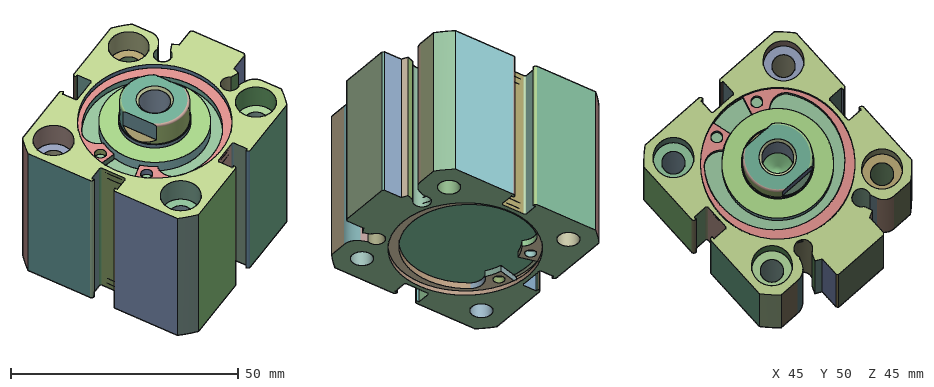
import cadquery as cq
import math

housing_width = 45.0
housing_height = 38.0
half_width = housing_width / 2
corner_radius = 29.5

rail_width = 14.0
rail_top = 27.5
rail_corner_chamfer = 0.4

sensor_bore_x = 8.55
sensor_bore_y = 18.0
sensor_bore_radius = 2.05
sensor_neck_width = 2.9
sensor_neck_angle = 22.0
sensor_lip_length = 3.45
shoulder_fillet = 3.4

slot_floor = 18.0
slot_width = 6.5
slot_mouth = 5.25
slot_lip = 0.8
slot_fillet = 0.4
slot_mouth_rounding = 0.6

bolt_offset = 16.25
bolt_hole_radius = 2.55
bolt_head_radius = 4.5
bolt_head_depth = 6.0

bore_radius = 16.0
seat_radius = 17.0
ring_depth = 1.15
ring_thickness = 1.6
groove_wall = 0.15
groove_radius = slot_floor - groove_wall

ring_opening_radius = 15.5
ring_opening_y = -1.1
lug_inner_radius = 12.5
lug_gap_half_angle = 14.9
lug_end_half_angle = 33.6
lug_shoulder = (9.5, -11.65)
lug_flank_start_angle = 37.5
lug_hole_x = 5.9
lug_hole_y = -13.5
lug_hole_radius = 1.3

cover_boss_radius = 12.3
rod_cover_thickness = 8.0
rear_cover_thickness = 4.0

rod_radius = 8.0
rod_top = 45.0
rod_end_radius = 7.75
rod_end_fillet = 0.5
flat_half_width = 6.45
flat_bottom = 40.35
rod_end_start = flat_bottom - (rod_end_radius - flat_half_width)
thread_hole_radius = 3.5
thread_chamfer = 0.6
thread_depth = 13.0
drill_point_angle = 118.0

ring_bottom = housing_height - ring_depth - ring_thickness
rod_cover_bottom = ring_bottom - rod_cover_thickness
rear_cover_bottom = ring_depth + ring_thickness
rear_cover_top = rear_cover_bottom + rear_cover_thickness


def cylinder(radius, bottom, top):
    return cq.Workplane().workplane(offset=bottom).circle(radius).extrude(top - bottom)


def polar(radius, degrees):
    angle = math.radians(degrees)
    return radius * math.cos(angle), radius * math.sin(angle)


def t_slot():
    """T-slot along Z that opens toward -Y."""
    inner_depth = half_width - slot_lip - slot_floor
    inner = (
        cq.Workplane()
        .center(0, -slot_floor - inner_depth / 2)
        .rect(slot_width, inner_depth)
        .extrude(housing_height)
        .edges("|Z and >Y")
        .fillet(slot_fillet)
    )
    half_mouth = slot_mouth / 2
    round_start = half_width - slot_mouth_rounding
    mouth = (
        cq.Workplane()
        .moveTo(-half_mouth, -slot_floor)
        .lineTo(half_mouth, -slot_floor)
        .lineTo(half_mouth, -round_start)
        .radiusArc((half_mouth + slot_mouth_rounding, -half_width), -slot_mouth_rounding)
        .lineTo(-half_mouth - slot_mouth_rounding, -half_width)
        .radiusArc((-half_mouth, -round_start), -slot_mouth_rounding)
        .close()
        .extrude(housing_height)
    )
    return inner.union(mouth)


def sensor_neck():
    """Slanted mouth of the +X sensor groove, and the X where it meets the shoulder."""
    lean = math.radians(sensor_neck_angle)
    half_neck = sensor_neck_width / 2

    def place(across, along):
        x = sensor_bore_x + across * math.cos(lean) + along * math.sin(lean)
        y = sensor_bore_y - across * math.sin(lean) + along * math.cos(lean)
        return x, y

    shoulder_rise = half_width - sensor_bore_y + half_neck * math.sin(lean)
    shoulder = place(half_neck, shoulder_rise / math.cos(lean))
    neck = (
        cq.Workplane()
        .polyline([
            place(-half_neck, 0),
            place(-half_neck, sensor_lip_length),
            (rail_width / 2, half_width),
            shoulder,
            place(half_neck, 0),
        ])
        .close()
        .extrude(housing_height)
    )
    return neck, shoulder[0]


def housing_block():
    """Square profile with turned corners, sensor rail and sensor grooves."""
    block = cq.Workplane().rect(housing_width, housing_width).extrude(housing_height)
    block = block.intersect(cylinder(corner_radius, 0, housing_height))
    rail = (
        cq.Workplane()
        .center(0, rail_top / 2)
        .rect(rail_width, rail_top)
        .extrude(housing_height)
        .edges("|Z and >Y")
        .chamfer(rail_corner_chamfer)
    )
    block = block.union(rail)

    neck, shoulder_x = sensor_neck()
    block = block.cut(neck).cut(neck.mirror("YZ"))
    for side in (-1, 1):
        shoulder = cq.selectors.NearestToPointSelector(
            (side * shoulder_x, half_width, housing_height / 2)
        )
        block = block.edges("|Z").edges(shoulder).fillet(shoulder_fillet)

    sensor_bores = (
        cq.Workplane()
        .pushPoints([(-sensor_bore_x, sensor_bore_y), (sensor_bore_x, sensor_bore_y)])
        .circle(sensor_bore_radius)
        .extrude(housing_height)
    )
    return block.cut(sensor_bores)


def make_housing():
    body = housing_block()

    for angle in (-90, 0, 90):
        body = body.cut(t_slot().rotate((0, 0, 0), (0, 0, 1), angle))

    body = (
        body.faces(">Z")
        .workplane(origin=(0, 0, housing_height))
        .rect(2 * bolt_offset, 2 * bolt_offset, forConstruction=True)
        .vertices()
        .cboreHole(2 * bolt_hole_radius, 2 * bolt_head_radius, bolt_head_depth)
    )

    body = body.cut(cylinder(bore_radius, 0, housing_height))
    body = body.cut(cylinder(seat_radius, rod_cover_bottom, housing_height))
    body = body.cut(cylinder(seat_radius, 0, rear_cover_top))
    for groove_bottom in (ring_bottom, ring_depth):
        body = body.cut(cylinder(groove_radius, groove_bottom, groove_bottom + ring_thickness))
    return body


def make_retaining_ring(bottom):
    """Internal snap ring with two drilled lugs beside its gap at -Y."""
    flank_x, flank_drop = polar(ring_opening_radius, -lug_flank_start_angle)
    flank_y = ring_opening_y + flank_drop
    lug_x, lug_y = polar(lug_inner_radius, lug_end_half_angle - 90)
    shoulder_x, shoulder_y = lug_shoulder
    opening = (
        cq.Workplane()
        .workplane(offset=bottom)
        .moveTo(flank_x, flank_y)
        .threePointArc((0, ring_opening_y + ring_opening_radius), (-flank_x, flank_y))
        .threePointArc((-shoulder_x, shoulder_y), (-lug_x, lug_y))
        .threePointArc((0, -lug_inner_radius), (lug_x, lug_y))
        .threePointArc((shoulder_x, shoulder_y), (flank_x, flank_y))
        .close()
        .extrude(ring_thickness)
    )
    gap_half_width = groove_radius * math.tan(math.radians(lug_gap_half_angle))
    gap = (
        cq.Workplane()
        .workplane(offset=bottom)
        .polyline([(0, 0), (-gap_half_width, -groove_radius), (gap_half_width, -groove_radius)])
        .close()
        .extrude(ring_thickness)
    )
    lug_holes = (
        cq.Workplane()
        .workplane(offset=bottom)
        .pushPoints([(-lug_hole_x, lug_hole_y), (lug_hole_x, lug_hole_y)])
        .circle(lug_hole_radius)
        .extrude(ring_thickness)
    )
    ring = cylinder(groove_radius, bottom, bottom + ring_thickness)
    return ring.cut(opening).cut(gap).cut(lug_holes)


def make_rod_cover():
    """Guide for the rod: seated disc with a boss flush with the housing face."""
    disc = cylinder(seat_radius, rod_cover_bottom, ring_bottom)
    boss = cylinder(cover_boss_radius, ring_bottom, housing_height)
    return disc.union(boss).cut(cylinder(rod_radius, rod_cover_bottom, housing_height))


def make_rear_cover():
    return cylinder(seat_radius, rear_cover_bottom, rear_cover_top)


def wrench_flat():
    """Material removed at the +Y flat; its lower end slopes out at 45 degrees."""
    return (
        cq.Workplane("YZ")
        .polyline([
            (flat_half_width, rod_top),
            (flat_half_width, flat_bottom),
            (rod_end_radius, rod_end_start),
            (rod_end_radius, rod_top),
        ])
        .close()
        .extrude(rod_radius, both=True)
    )


def thread_hole():
    """Blind threaded hole with a chamfered mouth and a drill point."""
    bottom = rod_top - thread_depth
    tip_drop = thread_hole_radius / math.tan(math.radians(drill_point_angle / 2))
    return (
        cq.Workplane("XZ")
        .polyline([
            (0, rod_top),
            (thread_hole_radius + thread_chamfer, rod_top),
            (thread_hole_radius, rod_top - thread_chamfer),
            (thread_hole_radius, bottom),
            (0, bottom - tip_drop),
        ])
        .close()
        .revolve(360, (0, 0), (0, 1))
    )


def make_rod():
    shank = cylinder(rod_radius, rear_cover_top, rod_end_start)
    end = cylinder(rod_end_radius, rod_end_start, rod_top).faces(">Z").edges().fillet(rod_end_fillet)
    flat = wrench_flat()
    end = end.cut(flat).cut(flat.mirror("XZ"))
    return shank.union(end).cut(thread_hole())


housing = make_housing()
rod_cover = make_rod_cover()
rear_cover = make_rear_cover()
rod = make_rod()
retaining_rings = [make_retaining_ring(bottom) for bottom in (ring_bottom, ring_depth)]

result = cq.Compound.makeCompound([
    housing.val(),
    rod_cover.val(),
    rear_cover.val(),
    rod.val(),
    *[ring.val() for ring in retaining_rings],
])